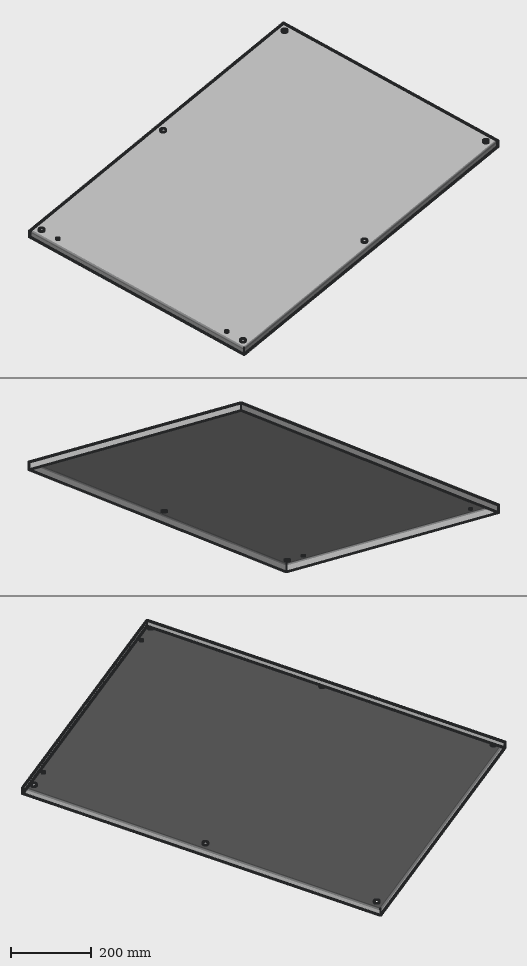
import cadquery as cq

width = 685.0
length = 991.0
height = 22.0

sheet = 2.0
bend_radius = 3.0

mount_diameter = 14.0
mount_inset = 22.0
mount_x = width / 2 - mount_inset
mount_y = length / 2 - mount_inset

small_diameter = 8.0
small_x = 269.0


def rounded_rim_block(size_x, size_y, size_z, top_radius):
    """Block standing on Z = 0 with square corners and a rounded top rim."""
    block = cq.Workplane("XY").box(size_x, size_y, size_z, centered=(True, True, False))
    return block.faces(">Z").edges().fillet(top_radius)


def drill(body, points, diameter):
    """Cut holes through the top sheet at the given points."""
    cutters = cq.Workplane("XY").pushPoints(points).circle(diameter / 2).extrude(height)
    return body.cut(cutters)


outside = rounded_rim_block(width, length, height, bend_radius)
inside = rounded_rim_block(
    width - 2 * sheet,
    length - 2 * sheet,
    height - sheet,
    bend_radius - sheet,
)
tray = outside.cut(inside)

mount_points = [(x, y) for x in (-mount_x, mount_x) for y in (-mount_y, 0, mount_y)]
small_points = [(x, -mount_y) for x in (-small_x, small_x)]
tray = drill(tray, mount_points, mount_diameter)
result = drill(tray, small_points, small_diameter)